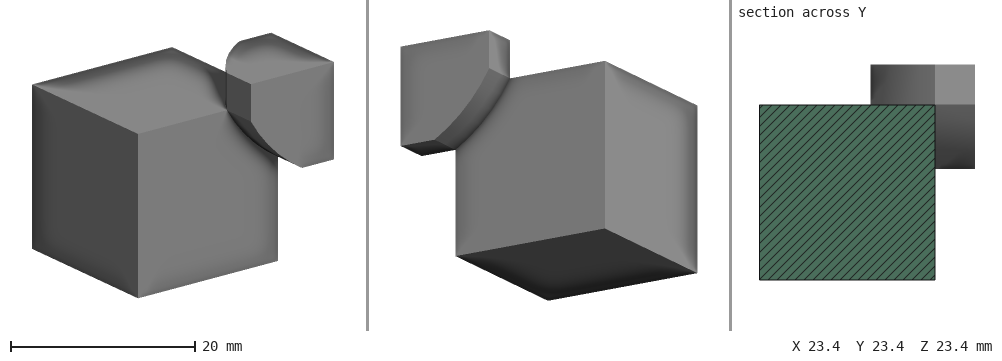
import cadquery as cq
import math

CUBE_SIZE = 19.05
PLATE_THICKNESS = 4.32

ARC_RADIUS = CUBE_SIZE
ARC_CENTER = CUBE_SIZE + CUBE_SIZE / 2

PLATE_START = ARC_CENTER - math.sqrt(ARC_RADIUS**2 - (ARC_CENTER - CUBE_SIZE) ** 2)
ARC_MIDDLE = ARC_CENTER - ARC_RADIUS / math.sqrt(2)
PLATE_END = CUBE_SIZE + PLATE_THICKNESS


def make_cube():
    """Cube with one corner at the origin."""
    return cq.Workplane("XY").box(CUBE_SIZE, CUBE_SIZE, CUBE_SIZE, centered=False)


def make_plate(plane):
    """Corner plate lying on the cube face parallel to the given plane."""
    return (
        cq.Workplane(plane)
        .workplane(offset=CUBE_SIZE)
        .moveTo(PLATE_START, CUBE_SIZE)
        .threePointArc((ARC_MIDDLE, ARC_MIDDLE), (CUBE_SIZE, PLATE_START))
        .lineTo(PLATE_END, PLATE_START)
        .lineTo(PLATE_END, PLATE_END)
        .lineTo(PLATE_START, PLATE_END)
        .close()
        .extrude(PLATE_THICKNESS)
    )


result = make_cube()
for face_plane in ("XY", "YZ", "ZX"):
    result = result.union(make_plate(face_plane))